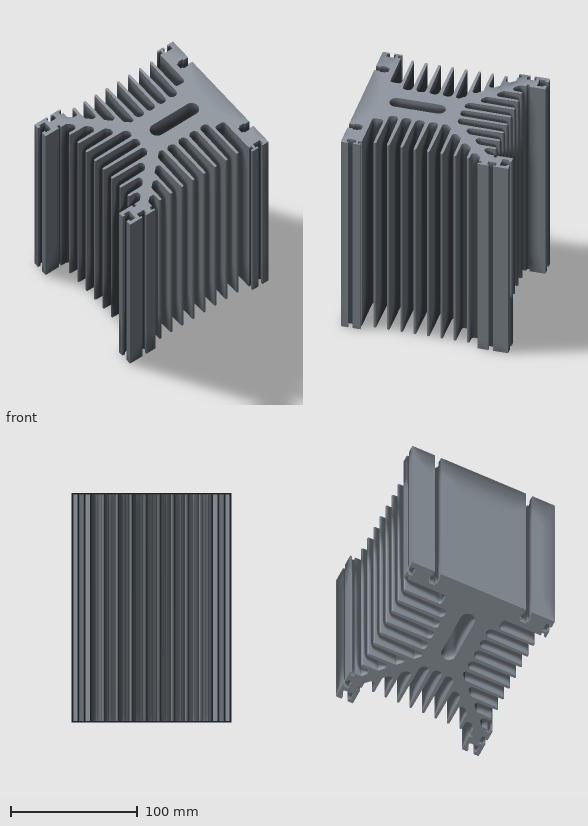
import cadquery as cq

WIDTH = 125.0
DEPTH = 137.0
LENGTH = 180.0
HALF_WIDTH = WIDTH / 2

PLATE_THICKNESS = 16.0
FOOT_TOP = 111.8
FOOT_WIDTH = 14.5
FOOT_INNER = HALF_WIDTH - FOOT_WIDTH

FIN_TIP_THICKNESS = 2.2
FIN_ROOT_THICKNESS = 3.2
FIN_TAPER_LENGTH = 39.6
FIN_TIP_RADIUS = 1.06
TIP_SEARCH_MARGIN = 0.2

SIDE_FIN_TIP = HALF_WIDTH - 5.2
SIDE_FIN_COUNT = 8
FIRST_SIDE_FIN = 26.3
LAST_SIDE_FIN = 102.6
SIDE_FIN_PITCH = (LAST_SIDE_FIN - FIRST_SIDE_FIN) / (SIDE_FIN_COUNT - 1)
NECK_HALF_WIDTH = 18.2
STRAIGHT_CHANNELS = 4
SHOULDER_HALF_WIDTH = 25.0

FRONT_FIN_TIP = 120.8
FRONT_FIN_COUNT = 4
FRONT_FIN_PITCH = 11.0
MIDDLE_CHANNEL_ROOT = 80.8
FIRST_FRONT_ROOT = 81.5
FRONT_ROOT_STEP = 10.3

STRUT_OUTER_FACE = ((19.0, 75.8), (53.1, 111.8))
STRUT_INNER_FACE = ((13.9, 83.3), (46.8, 115.2))
SIDE_ROOT_STEP = 10.5

PLATE_CHANNEL_RADIUS = 2.3
STRAIGHT_CHANNEL_RADIUS = 3.5
SIDE_STRUT_RADIUS = 2.2
FRONT_STRUT_RADIUS = 2.7
MIDDLE_CHANNEL_RADIUS = 3.2

SLOT_WIDTH = 11.9
SLOT_START = 22.9
SLOT_END = 68.8

SIDE_T_DEPTHS = (8.0, 122.8)
SIDE_T_OPENING = 3.8
SIDE_T_CAVITY = 7.0
SIDE_T_LIP = 1.6
SIDE_T_FLOOR = 5.4

FOOT_T_OPENING = 5.2
FOOT_T_CAVITY = 8.6
FOOT_T_LIP = 2.5
FOOT_T_FLOOR = 7.7

BACK_GROOVE_OFFSET = 40.0
BACK_GROOVE_WIDTH = 5.4
BACK_GROOVE_WIDE = 7.7
BACK_GROOVE_WIDE_START = 4.5
BACK_GROOVE_WIDE_END = 9.4
BACK_GROOVE_FLOOR = 11.3

NOTCH_DEPTH = 2.5
HOOK_THICKNESS = 1.6
HOOK_NOTCH_WIDTH = 2.9
FOOT_NOTCH_START = 121.5
FOOT_NOTCH_END = 123.8


def prism(points):
    """Extrude a closed outline of (offset, depth) points over the full length."""
    outline = [(offset, DEPTH / 2 - depth) for offset, depth in points]
    return cq.Workplane("XY").polyline(outline).close().extrude(LENGTH)


def box(offset_a, offset_b, depth_a, depth_b):
    """Full-length rectangular prism between two offsets and two depths."""
    return prism([(offset_a, depth_a), (offset_b, depth_a), (offset_b, depth_b), (offset_a, depth_b)])


def channel(points, radius):
    """Channel between fins; the first and last points are its mouth, inner corners are rounded."""
    solid = prism(points)
    for offset, depth in points[1:-1]:
        corner = cq.selectors.NearestToPointSelector((offset, DEPTH / 2 - depth, LENGTH / 2))
        solid = solid.edges("|Z").edges(corner).fillet(radius)
    return solid


def fin_half_thickness(distance_from_tip):
    taper = (FIN_ROOT_THICKNESS - FIN_TIP_THICKNESS) / FIN_TAPER_LENGTH
    return (FIN_TIP_THICKNESS + taper * distance_from_tip) / 2


def side_fin_half(offset):
    return fin_half_thickness(SIDE_FIN_TIP - offset)


def front_fin_half(depth):
    return fin_half_thickness(FRONT_FIN_TIP - depth)


def depth_on(face, offset):
    (offset_a, depth_a), (offset_b, depth_b) = face
    return depth_a + (offset - offset_a) * (depth_b - depth_a) / (offset_b - offset_a)


def offset_on(face, depth):
    (offset_a, depth_a), (offset_b, depth_b) = face
    return offset_a + (depth - depth_a) * (offset_b - offset_a) / (depth_b - depth_a)


def plate_channel():
    """Wide channel between the back plate and the first side fin."""
    far_side = FIRST_SIDE_FIN - FIN_TIP_THICKNESS / 2
    points = [
        (HALF_WIDTH, PLATE_THICKNESS),
        (SHOULDER_HALF_WIDTH, PLATE_THICKNESS),
        (SHOULDER_HALF_WIDTH, far_side),
        (HALF_WIDTH, far_side),
    ]
    return channel(points, PLATE_CHANNEL_RADIUS)


def side_channel(index):
    """Channel on the front side of side fin number index; the later ones end on the strut."""
    near_fin = FIRST_SIDE_FIN + index * SIDE_FIN_PITCH
    far_fin = near_fin + SIDE_FIN_PITCH
    strut_index = index - STRAIGHT_CHANNELS
    root = NECK_HALF_WIDTH + max(strut_index, 0) * SIDE_ROOT_STEP
    near_side = [
        (HALF_WIDTH, near_fin + side_fin_half(HALF_WIDTH)),
        (root, near_fin + side_fin_half(root)),
    ]
    if strut_index < 0:
        far_side = [
            (root, far_fin - side_fin_half(root)),
            (HALF_WIDTH, far_fin - side_fin_half(HALF_WIDTH)),
        ]
        return channel(near_side + far_side, STRAIGHT_CHANNEL_RADIUS)

    strut_side = [
        (root, depth_on(STRUT_OUTER_FACE, root)),
        (HALF_WIDTH, depth_on(STRUT_OUTER_FACE, HALF_WIDTH)),
    ]
    rounded = channel(near_side + strut_side, SIDE_STRUT_RADIUS)
    if index == SIDE_FIN_COUNT - 1:
        far_tip = far_root = FOOT_TOP
    else:
        far_tip = far_fin - side_fin_half(HALF_WIDTH)
        far_root = far_fin - side_fin_half(root)
    limit = prism([(HALF_WIDTH, near_fin), (0, near_fin), (root, far_root), (HALF_WIDTH, far_tip)])
    return rounded.intersect(limit)


def middle_channel():
    fin = FRONT_FIN_PITCH / 2
    root_wall = fin - front_fin_half(MIDDLE_CHANNEL_ROOT)
    mouth_wall = fin - front_fin_half(DEPTH)
    points = [
        (-mouth_wall, DEPTH),
        (-root_wall, MIDDLE_CHANNEL_ROOT),
        (root_wall, MIDDLE_CHANNEL_ROOT),
        (mouth_wall, DEPTH),
    ]
    return channel(points, MIDDLE_CHANNEL_RADIUS)


def front_channel(index):
    """Channel on the outer side of front fin number index, ending on the strut."""
    inner_fin = FRONT_FIN_PITCH * (index + 0.5)
    outer_fin = inner_fin + FRONT_FIN_PITCH
    root = FIRST_FRONT_ROOT + index * FRONT_ROOT_STEP
    if index == FRONT_FIN_COUNT - 1:
        outer_root = outer_mouth = FOOT_INNER
    else:
        outer_root = outer_fin - front_fin_half(root)
        outer_mouth = outer_fin - front_fin_half(DEPTH)
    points = [
        (inner_fin + front_fin_half(DEPTH), DEPTH),
        (inner_fin + front_fin_half(root), root),
        (offset_on(STRUT_INNER_FACE, root), root),
        (outer_root, depth_on(STRUT_INNER_FACE, outer_root)),
        (outer_mouth, DEPTH),
    ]
    return channel(points, FRONT_STRUT_RADIUS)


def side_t_slot(depth):
    lip = HALF_WIDTH - SIDE_T_LIP
    floor = HALF_WIDTH - SIDE_T_FLOOR
    opening = box(floor, HALF_WIDTH, depth - SIDE_T_OPENING / 2, depth + SIDE_T_OPENING / 2)
    cavity = box(floor, lip, depth - SIDE_T_CAVITY / 2, depth + SIDE_T_CAVITY / 2)
    return opening.union(cavity)


def foot_t_slot():
    middle = HALF_WIDTH - FOOT_WIDTH / 2
    floor = DEPTH - FOOT_T_FLOOR
    opening = box(middle - FOOT_T_OPENING / 2, middle + FOOT_T_OPENING / 2, floor, DEPTH)
    cavity = box(middle - FOOT_T_CAVITY / 2, middle + FOOT_T_CAVITY / 2, floor, DEPTH - FOOT_T_LIP)
    return opening.union(cavity)


def back_groove():
    narrow = BACK_GROOVE_WIDTH / 2
    wide = BACK_GROOVE_WIDE / 2
    stem = box(BACK_GROOVE_OFFSET - narrow, BACK_GROOVE_OFFSET + narrow, 0, BACK_GROOVE_FLOOR)
    step = box(
        BACK_GROOVE_OFFSET - wide, BACK_GROOVE_OFFSET + wide, BACK_GROOVE_WIDE_START, BACK_GROOVE_WIDE_END
    )
    return stem.union(step)


def notches():
    hook = HALF_WIDTH - HOOK_THICKNESS
    plate_notch = box(hook - HOOK_NOTCH_WIDTH, hook, PLATE_THICKNESS - NOTCH_DEPTH, PLATE_THICKNESS)
    foot_notch = box(hook - HOOK_NOTCH_WIDTH, hook, FOOT_TOP, FOOT_TOP + NOTCH_DEPTH)
    inner_notch = box(FOOT_INNER, FOOT_INNER + NOTCH_DEPTH, FOOT_NOTCH_START, FOOT_NOTCH_END)
    return [plate_notch, foot_notch, inner_notch]


def central_slot():
    middle = DEPTH / 2 - (SLOT_START + SLOT_END) / 2
    return cq.Workplane("XY").center(0, middle).slot2D(SLOT_END - SLOT_START, SLOT_WIDTH, 90).extrude(LENGTH)


def round_fin_tips(body):
    """Round both corners of every side and front fin tip."""
    margin = TIP_SEARCH_MARGIN
    front_y = DEPTH / 2 - FRONT_FIN_TIP
    front_reach = FOOT_INNER - margin
    regions = [cq.selectors.BoxSelector(
        (-front_reach, front_y - margin, 0), (front_reach, front_y + margin, LENGTH)
    )]
    side_start = DEPTH / 2 - PLATE_THICKNESS - margin
    side_end = DEPTH / 2 - FOOT_TOP + margin
    for tip in (-SIDE_FIN_TIP, SIDE_FIN_TIP):
        regions.append(cq.selectors.BoxSelector(
            (tip - margin, side_end, 0), (tip + margin, side_start, LENGTH)
        ))
    for region in regions:
        body = body.edges("|Z").edges(region).fillet(FIN_TIP_RADIUS)
    return body


half_cuts = [
    box(SIDE_FIN_TIP, HALF_WIDTH, PLATE_THICKNESS, FOOT_TOP),
    plate_channel(),
    foot_t_slot(),
    back_groove(),
]
half_cuts += [side_channel(index) for index in range(SIDE_FIN_COUNT)]
half_cuts += [front_channel(index) for index in range(FRONT_FIN_COUNT)]
half_cuts += [side_t_slot(depth) for depth in SIDE_T_DEPTHS]
half_cuts += notches()

body = box(-HALF_WIDTH, HALF_WIDTH, 0, DEPTH)
for cut in half_cuts:
    body = body.cut(cut).cut(cut.mirror("YZ"))

body = body.cut(box(-FOOT_INNER, FOOT_INNER, FRONT_FIN_TIP, DEPTH))
body = body.cut(middle_channel())
body = body.cut(central_slot())

result = round_fin_tips(body)